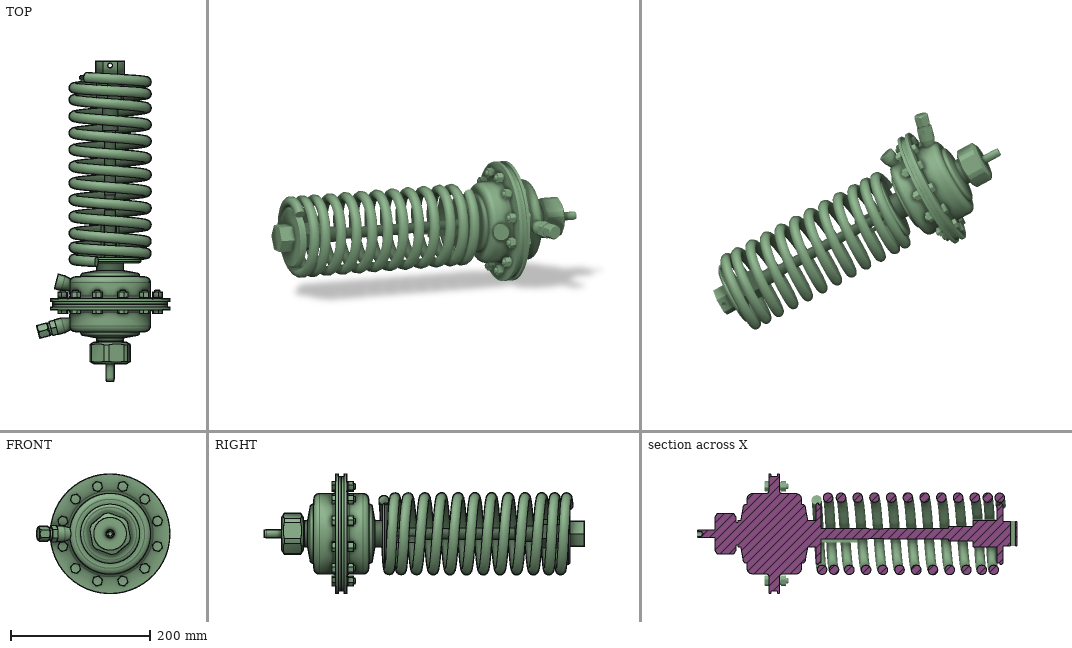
import cadquery as cq
import math


flange_radius = 172 / 2
flange_half_width = 8.0
plate_thickness = 4.0
core_radius = 165 / 2
parting_groove = 0.3

housing_radius = 116 / 2
housing_end_y = 39.5
housing_corner = 8.5
housing_root_fillet = 3.7
shoulder_radius = 42.5
shoulder_corner = 4.5
shoulder_end_y = 44.9
cone_end_y = 48.2
cone_end_radius = 20.0

bolt_count = 12
bolt_circle_radius = 70.2
bolt_first_angle = 15
bolt_radius = 8 / 2
bolt_tip_y = 20.5
bolt_tip_chamfer = 1.0
bolt_hex_radius = 13 / math.sqrt(3)
bolt_chamfer_radius = 13.5 / 2
head_height = 5.4
washer_radius = 12 / 2
washer_thickness = 2.0
bolt_nut_height = 7.3

neck_radius = 38.5 / 2
collar_end_y = -52.5
thread_radius = 16.7
nut_top_y = -54.5
nut_bottom_y = -85.5
nut_corner_radius = 29.8
nut_across_flats = 55
nut_face_radius = 23.5
nut_chamfer_height = 3.7
hex_turn = 40
stem_radius = 12 / 2
stem_end_y = -110.7
stem_tip_length = 3.3
stem_tip_radius = 5.2
stem_hole_radius = 6.5 / 2
stem_hole_depth = 6.0
stem_hole_tip = 2.0

port_tilt = 15
port_axis_y = 12.1
port_radius = 22 / 2
port_taper_start = 50.0
port_taper_start_radius = 6.0
port_taper_end = 69.7
port_end = 80.0

fitting_hex_turn = 30
fitting_neck_radius = 17.4 / 2
fitting_face_radius = 18 / 2
body_hex_radius = 21 / math.sqrt(3)
body_hex_length = 8.0
fitting_gap = 3.0
cap_hex_radius = 19 / math.sqrt(3)
fitting_end = 107.04
cap_chamfer_height = 2.2

wire_radius = 14.5 / 2
coil_radius = 52.0
spring_base_y = 60.0
closed_pitch = 17.2
active_pitch = 24.0
active_start_turn = 1.8
active_end_turn = 10.2
first_turn = 22 / 360
last_turn = 12 + 40 / 360
points_per_turn = 12

seat_clearance = 0.5
seat_radius = coil_radius - wire_radius - seat_clearance
seat_pin_radius = 2.5
lower_pin_turn = 0.25
upper_pin_turn = 11.9
seat_chamfer = 2.5
seat_rim_height = 5.0
seat_boss_radius = 42.0
lower_seat_y = 59.2
lower_seat_height = 8.0
upper_seat_top_y = 328.5
upper_seat_height = 9.5

rod_radius = 16 / 2
journal_radius = 14.5 / 2
journal_start_y = 135.5
journal_end_y = 157.0
sleeve_radius = 22 / 2
sleeve_start_y = 249.5
spring_nut_flats = 36
spring_nut_radius = spring_nut_flats / math.sqrt(3)
spring_nut_bottom_y = 285.0

bar_inner_x = 9.0
bar_outer_x = 13.0
bar_bottom_z = -12.7
bar_top_z = -3.5
bar_end_y = 120.0

overall_length = 459.57
adjuster_end_y = stem_end_y + overall_length
cross_hole_radius = 6.5 / 2
cross_hole_inset = 6.2


def disc(radius, start_y, end_y):
    return cq.Workplane("XZ", origin=(0, start_y, 0)).circle(radius).extrude(start_y - end_y)


def hexagon(corner_radius, start_y, end_y, corner_angle=0):
    prism = cq.Workplane("XZ", origin=(0, start_y, 0)).polygon(6, 2 * corner_radius).extrude(start_y - end_y)
    return prism.rotate((0, 0, 0), (0, 1, 0), -corner_angle)


def revolve_about_y(profile):
    return profile.close().revolve(360, (0, 0, 0), (0, 1, 0))


def make_flange():
    flange = disc(core_radius, -flange_half_width, flange_half_width)
    for outer_y in (-flange_half_width, flange_half_width):
        inner_y = outer_y - math.copysign(plate_thickness, outer_y)
        flange = flange.union(disc(flange_radius, min(inner_y, outer_y), max(inner_y, outer_y)))
    groove_ring = disc(core_radius, -parting_groove / 2, parting_groove / 2)
    groove_ring = groove_ring.cut(disc(core_radius - parting_groove, -parting_groove, parting_groove))
    return flange.cut(groove_ring)


def make_housing_half():
    diagonal = math.sqrt(0.5)
    root_x = housing_radius + housing_root_fillet
    root_y = flange_half_width + housing_root_fillet
    corner_x = housing_radius - housing_corner
    corner_y = housing_end_y - housing_corner
    shoulder_x = shoulder_radius - shoulder_corner
    shoulder_y = shoulder_end_y - shoulder_corner
    profile = (
        cq.Workplane("XY")
        .lineTo(root_x, 0)
        .lineTo(root_x, flange_half_width)
        .threePointArc(
            (root_x - housing_root_fillet * diagonal, root_y - housing_root_fillet * diagonal),
            (housing_radius, root_y),
        )
        .lineTo(housing_radius, corner_y)
        .threePointArc(
            (corner_x + housing_corner * diagonal, corner_y + housing_corner * diagonal),
            (corner_x, housing_end_y),
        )
        .lineTo(shoulder_radius, housing_end_y)
        .lineTo(shoulder_radius, shoulder_y)
        .threePointArc(
            (shoulder_x + shoulder_corner * diagonal, shoulder_y + shoulder_corner * diagonal),
            (shoulder_x, shoulder_end_y),
        )
        .lineTo(cone_end_radius, cone_end_y)
        .lineTo(0, cone_end_y)
    )
    return revolve_about_y(profile)


def make_bolt():
    head_end_y = -flange_half_width - head_height
    washer_end_y = flange_half_width + washer_thickness
    head = hexagon(bolt_hex_radius, head_end_y, -flange_half_width)
    bevel = (
        cq.Workplane("XY")
        .moveTo(0, head_end_y)
        .lineTo(bolt_chamfer_radius, head_end_y)
        .lineTo(bolt_chamfer_radius + head_height, -flange_half_width)
        .lineTo(0, -flange_half_width)
    )
    head = head.intersect(revolve_about_y(bevel))
    shank = disc(bolt_radius, -flange_half_width, bolt_tip_y).faces(">Y").chamfer(bolt_tip_chamfer)
    washer = disc(washer_radius, flange_half_width, washer_end_y)
    nut = hexagon(bolt_hex_radius, washer_end_y, washer_end_y + bolt_nut_height)
    bolt = head.union(shank).union(washer).union(nut)
    return bolt.translate((bolt_circle_radius, 0, 0))


def make_union_nut():
    nut = hexagon(nut_across_flats / math.sqrt(3), nut_bottom_y, nut_top_y, hex_turn)
    envelope = (
        cq.Workplane("XY")
        .moveTo(0, nut_bottom_y)
        .lineTo(nut_face_radius, nut_bottom_y)
        .lineTo(nut_corner_radius, nut_bottom_y + nut_chamfer_height)
        .lineTo(nut_corner_radius, nut_top_y - nut_chamfer_height)
        .lineTo(nut_face_radius, nut_top_y)
        .lineTo(0, nut_top_y)
    )
    return nut.intersect(revolve_about_y(envelope))


def make_stem():
    profile = (
        cq.Workplane("XY")
        .moveTo(0, stem_end_y)
        .lineTo(stem_tip_radius, stem_end_y)
        .lineTo(stem_radius, stem_end_y + stem_tip_length)
        .lineTo(stem_radius, nut_bottom_y)
        .lineTo(0, nut_bottom_y)
    )
    stem = revolve_about_y(profile)
    hole_bottom_y = stem_end_y + stem_hole_depth
    hole = (
        cq.Workplane("XY")
        .moveTo(0, stem_end_y)
        .lineTo(stem_hole_radius, stem_end_y)
        .lineTo(stem_hole_radius, hole_bottom_y)
        .lineTo(0, hole_bottom_y + stem_hole_tip)
    )
    return stem.cut(revolve_about_y(hole))


def make_port():
    profile = (
        cq.Workplane("XY")
        .moveTo(0, port_taper_start)
        .lineTo(port_taper_start_radius, port_taper_start)
        .lineTo(port_radius, port_taper_end)
        .lineTo(port_radius, port_end)
        .lineTo(0, port_end)
    )
    return revolve_about_y(profile)


def make_fitting():
    body_end = port_end + body_hex_length
    cap_start = body_end + fitting_gap
    body = hexagon(body_hex_radius, port_end, body_end)
    neck = disc(fitting_neck_radius, body_end, cap_start)
    cap = hexagon(cap_hex_radius, cap_start, fitting_end)
    envelope = (
        cq.Workplane("XY")
        .moveTo(0, cap_start)
        .lineTo(fitting_face_radius, cap_start)
        .lineTo(cap_hex_radius, cap_start + cap_chamfer_height)
        .lineTo(cap_hex_radius, fitting_end - cap_chamfer_height)
        .lineTo(fitting_face_radius, fitting_end)
        .lineTo(0, fitting_end)
    )
    cap = cap.intersect(revolve_about_y(envelope))
    return body.union(neck).union(cap)


def place_port(shape, side):
    turned = shape.rotate((0, 0, 0), (0, 1, 0), fitting_hex_turn)
    turned = turned.rotate((0, 0, 0), (0, 0, 1), 90 - side * port_tilt)
    return turned.translate((0, side * port_axis_y, 0))


def spring_height(turn):
    closed_turns = min(turn, active_start_turn) + max(turn - active_end_turn, 0)
    active_turns = min(max(turn - active_start_turn, 0), active_end_turn - active_start_turn)
    return spring_base_y + closed_pitch * closed_turns + active_pitch * active_turns


def spring_point(turn):
    angle = 2 * math.pi * turn
    return cq.Vector(-coil_radius * math.sin(angle), spring_height(turn), coil_radius * math.cos(angle))


def make_spring():
    steps = math.ceil((last_turn - first_turn) * points_per_turn)
    turns = [first_turn + (last_turn - first_turn) * step / steps for step in range(steps + 1)]
    path = cq.Edge.makeSpline([spring_point(turn) for turn in turns])
    start_plane = cq.Plane(origin=path.startPoint(), normal=path.tangentAt(0))
    return cq.Workplane(start_plane).circle(wire_radius).sweep(cq.Workplane(path), isFrenet=True)


def make_spindle():
    lower_seat_top_y = lower_seat_y + lower_seat_height
    upper_seat_y = upper_seat_top_y - upper_seat_height
    spindle = disc(neck_radius, cone_end_y, lower_seat_y)
    lower_rim_y = lower_seat_y + seat_rim_height
    lower_seat = disc(seat_radius, lower_seat_y, lower_rim_y).faces("<Y").chamfer(seat_chamfer)
    spindle = spindle.union(lower_seat)
    spindle = spindle.union(disc(seat_boss_radius, lower_rim_y, lower_seat_top_y))
    spindle = spindle.union(disc(rod_radius, lower_seat_top_y, journal_start_y))
    spindle = spindle.union(disc(journal_radius, journal_start_y, journal_end_y))
    spindle = spindle.union(disc(rod_radius, journal_end_y, sleeve_start_y))
    spindle = spindle.union(disc(sleeve_radius, sleeve_start_y, spring_nut_bottom_y))
    spindle = spindle.union(hexagon(spring_nut_radius, spring_nut_bottom_y, upper_seat_y, hex_turn))
    upper_rim_y = upper_seat_top_y - seat_rim_height
    spindle = spindle.union(disc(seat_boss_radius, upper_seat_y, upper_rim_y))
    upper_seat = disc(seat_radius, upper_rim_y, upper_seat_top_y).faces(">Y").chamfer(seat_chamfer)
    return spindle.union(upper_seat)


def make_seat_pin(turn):
    end = spring_point(turn)
    start = cq.Vector(end.x / 2, end.y, end.z / 2)
    pin_plane = cq.Plane(origin=start, normal=end - start)
    return cq.Workplane(pin_plane).circle(seat_pin_radius).extrude(coil_radius / 2)


def make_guide_bars():
    bar = cq.Workplane("XY").box(
        bar_outer_x - bar_inner_x, bar_end_y - lower_seat_y, bar_top_z - bar_bottom_z, centered=False
    )
    bar = bar.translate((bar_inner_x, lower_seat_y, bar_bottom_z))
    return bar.union(bar.mirror("YZ"))


def make_adjuster():
    adjuster = hexagon(spring_nut_radius, upper_seat_top_y, adjuster_end_y)
    hole = cq.Workplane("XY", origin=(0, adjuster_end_y - cross_hole_inset, 0)).circle(cross_hole_radius)
    return adjuster.cut(hole.extrude(spring_nut_flats, both=True))


housing_half = make_housing_half()
result = make_flange().union(housing_half).union(housing_half.mirror("XZ"))

bolt = make_bolt()
for index in range(bolt_count):
    bolt_angle = bolt_first_angle + index * 360 / bolt_count
    result = result.union(bolt.rotate((0, 0, 0), (0, 1, 0), bolt_angle))

result = result.union(disc(neck_radius, collar_end_y, -cone_end_y))
result = result.union(disc(thread_radius, nut_top_y, collar_end_y))
result = result.union(make_union_nut()).union(make_stem())

for side in (1, -1):
    result = result.union(place_port(make_port(), side))
result = result.union(place_port(make_fitting(), -1))

result = result.union(make_spindle()).union(make_guide_bars()).union(make_adjuster())
spring = make_spring()
for pin_turn in (lower_pin_turn, upper_pin_turn):
    spring = spring.union(make_seat_pin(pin_turn))
result = result.union(spring)